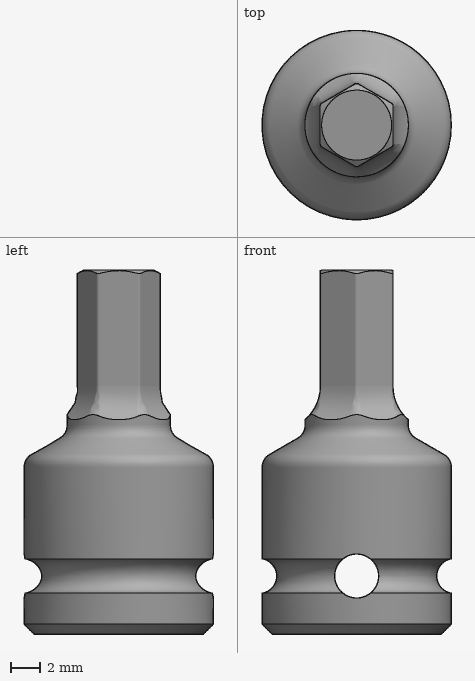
import cadquery as cq
import math

total_height = 25.0
body_radius = 6.5
bottom_chamfer = 0.7

groove_height = 4.0
groove_half_width = 1.18
groove_depth = 1.0
hole_diameter = 3.0

collar_radius = 3.55
collar_base = 14.32
cone_angle = math.radians(30)
blend_radius = 1.0

hex_across_flats = 5.0
hex_corner_radius = 0.25
hex_base = 17.0
flare_radius = 3.0
tip_radius = 2.4
tip_slope = math.radians(30)

blend_run = blend_radius * (1 - math.sin(cone_angle))
blend_rise = blend_radius * math.cos(cone_angle)
cone_top_radius = collar_radius + blend_run
cone_bottom_radius = body_radius - blend_run
cone_top = collar_base - blend_rise
cone_bottom = cone_top - (cone_bottom_radius - cone_top_radius) * math.tan(cone_angle)
body_top = cone_bottom - blend_rise

mid_angle = (math.pi / 2 - cone_angle) / 2
mid_run = blend_radius * (1 - math.cos(mid_angle))
mid_rise = blend_radius * math.sin(mid_angle)

flare_floor = hex_base - flare_radius


def make_body():
    """Revolved body with bottom chamfer, groove, shoulder and the foot of the collar."""
    return (
        cq.Workplane("XZ")
        .lineTo(body_radius - bottom_chamfer, 0)
        .lineTo(body_radius, bottom_chamfer)
        .lineTo(body_radius, groove_height - groove_half_width)
        .threePointArc(
            (body_radius - groove_depth, groove_height),
            (body_radius, groove_height + groove_half_width),
        )
        .lineTo(body_radius, body_top)
        .threePointArc(
            (body_radius - mid_run, body_top + mid_rise),
            (cone_bottom_radius, cone_bottom),
        )
        .lineTo(cone_top_radius, cone_top)
        .threePointArc(
            (collar_radius + mid_run, collar_base - mid_rise),
            (collar_radius, collar_base),
        )
        .lineTo(0, collar_base)
        .close()
        .revolve(360, (0, 0, 0), (0, 1, 0))
    )


def make_bit():
    """Hexagonal bit whose concave flare is trimmed to the collar and whose tip is coned."""
    across_corners = hex_across_flats / math.cos(math.pi / 6)
    hexagon = (
        cq.Workplane("XY", origin=(0, 0, flare_floor))
        .polygon(6, across_corners)
        .extrude(total_height - flare_floor)
        .rotate((0, 0, 0), (0, 0, 1), 90)
        .edges("|Z")
        .fillet(hex_corner_radius)
    )
    disc_radius = across_corners / 2 + 2 * flare_radius
    disc_base = cone_top
    disc = (
        cq.Workplane("XY", origin=(0, 0, disc_base))
        .circle(disc_radius)
        .extrude(flare_floor - disc_base)
    )
    select_margin = 0.25
    root_edges = cq.selectors.BoxSelector(
        (-across_corners, -across_corners, flare_floor - select_margin),
        (across_corners, across_corners, flare_floor + select_margin),
    )
    flared = disc.union(hexagon).edges("#Z").edges(root_edges).fillet(flare_radius)
    tip_drop = (collar_radius - tip_radius) * math.tan(tip_slope)
    envelope = (
        cq.Workplane("XZ")
        .moveTo(0, disc_base)
        .lineTo(collar_radius, disc_base)
        .lineTo(collar_radius, total_height - tip_drop)
        .lineTo(tip_radius, total_height)
        .lineTo(0, total_height)
        .close()
        .revolve(360, (0, 0, 0), (0, 1, 0))
    )
    return flared.intersect(envelope)


def make_cross_hole():
    """Pin hole running right through the body along Y."""
    return (
        cq.Workplane("XZ", origin=(0, 0, groove_height))
        .circle(hole_diameter / 2)
        .extrude(body_radius, both=True)
    )


result = make_body().union(make_bit()).cut(make_cross_hole())